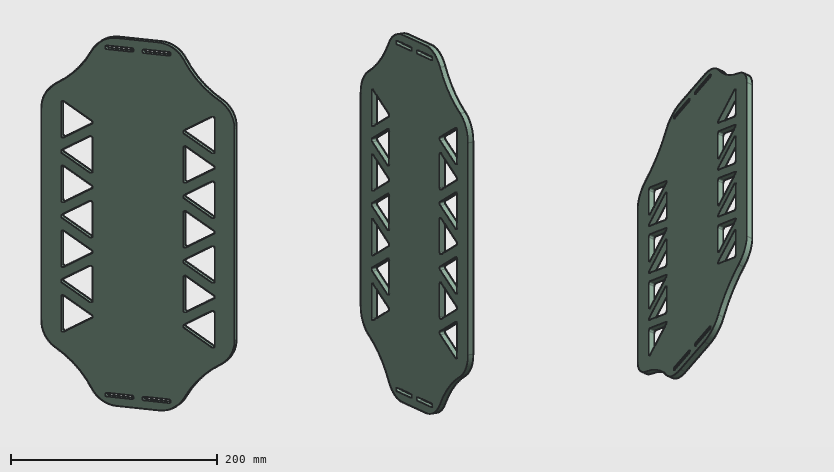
import cadquery as cq
import math

WIDTH = 200.0
HEIGHT = 370.0
THICKNESS = 6.3

TOP_FLAT = 43.5
CONVEX_RADIUS = 30.0
CONCAVE_RADIUS = 100.0

TRIANGLE_SIDE = 39.5
TRIANGLE_CORNER_RADIUS = 2.0
TRIANGLE_PITCH = 32.5
TRIANGLES_PER_COLUMN = 7
COLUMN_X = 63.3

SLOT_LENGTH = 29.2
SLOT_WIDTH = 3.7
SLOT_X = 19.2
SLOT_Z = 174.5

half_width = WIDTH / 2
half_height = HEIGHT / 2
half_flat = TOP_FLAT / 2
corner_inset = half_width - half_flat
side_end_z = half_height - corner_inset


def toward(start, end, distance):
    """Point at a distance from start along the line to end."""
    span = math.dist(start, end)
    return tuple(a + (b - a) * distance / span for a, b in zip(start, end))


def make_corner():
    """Arcs of the upper right corner, each as (midpoint, end), from the side edge to the top edge."""
    side_center = (half_width - CONVEX_RADIUS, side_end_z)
    top_center = (half_flat, half_height - CONVEX_RADIUS)
    side_end = (half_width, side_end_z)
    top_end = (half_flat, half_height)

    half_chord = math.dist(side_center, top_center) / 2
    offset = math.sqrt((CONVEX_RADIUS + CONCAVE_RADIUS) ** 2 - half_chord**2) / math.sqrt(2)
    concave_center = tuple((a + b) / 2 + offset for a, b in zip(side_center, top_center))
    side_joint = toward(side_center, concave_center, CONVEX_RADIUS)
    top_joint = toward(top_center, concave_center, CONVEX_RADIUS)

    def arc(center, radius, start, end):
        chord_middle = tuple((a + b) / 2 for a, b in zip(start, end))
        return toward(center, chord_middle, radius), end

    return [
        arc(side_center, CONVEX_RADIUS, side_end, side_joint),
        arc(concave_center, CONCAVE_RADIUS, side_joint, top_joint),
        arc(top_center, CONVEX_RADIUS, top_joint, top_end),
    ]


def back_plane():
    """Workplane on the back face (+Y side), with axes X and Z; extruding runs toward -Y."""
    return cq.Workplane("XZ", origin=(0, THICKNESS / 2, 0))


def make_plate():
    quarter = back_plane().lineTo(half_width, 0).lineTo(half_width, side_end_z)
    for middle, end in make_corner():
        quarter = quarter.threePointArc(middle, end)
    quarter = quarter.lineTo(0, half_height).close().extrude(THICKNESS)

    half = quarter.union(quarter.mirror("XY"))
    return half.union(half.mirror("YZ")).clean()


def make_triangle(x, z, direction):
    """Rounded equilateral prism centred at x, z and pointing along +X (1) or -X (-1)."""
    rise = TRIANGLE_SIDE * math.sqrt(3) / 2
    base_x = x - direction * (rise - TRIANGLE_CORNER_RADIUS) / 2
    corners = [
        (base_x, z - TRIANGLE_SIDE / 2),
        (base_x + direction * rise, z),
        (base_x, z + TRIANGLE_SIDE / 2),
    ]
    prism = back_plane().polyline(corners).close().extrude(THICKNESS)
    return prism.edges("|Y").fillet(TRIANGLE_CORNER_RADIUS)


def cut_triangles(plate):
    for side in (-1, 1):
        for index in range(TRIANGLES_PER_COLUMN):
            z = (index - (TRIANGLES_PER_COLUMN - 1) / 2) * TRIANGLE_PITCH
            direction = -side if index % 2 == 0 else side
            plate = plate.cut(make_triangle(side * COLUMN_X, z, direction))
    return plate


def cut_slots(plate):
    centers = [(x, z) for x in (-SLOT_X, SLOT_X) for z in (-SLOT_Z, SLOT_Z)]
    slots = back_plane().pushPoints(centers).slot2D(SLOT_LENGTH, SLOT_WIDTH).extrude(THICKNESS)
    return plate.cut(slots)


result = cut_slots(cut_triangles(make_plate()))